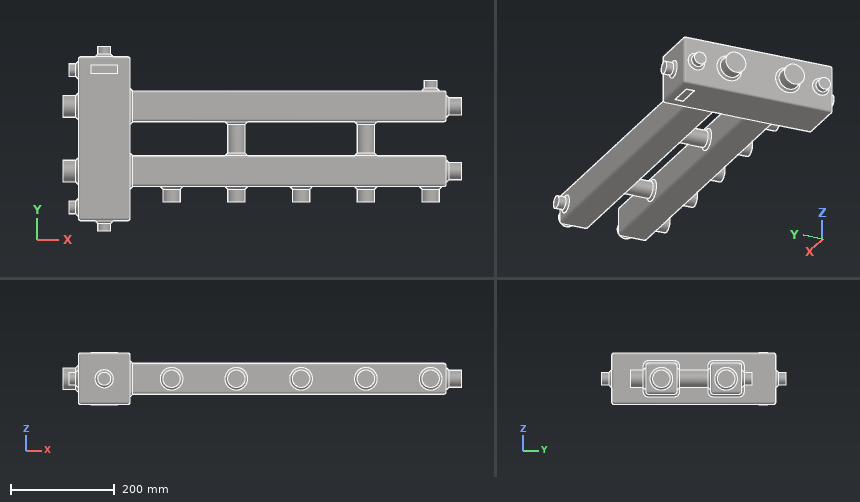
import cadquery as cq

BLOCK_X = 100.0
BLOCK_Y = 317.0
BLOCK_Z = 100.0
BLOCK_EDGE = 5.0

PLATE_X = 51.0
PLATE_Y = 17.0
PLATE_THICKNESS = 0.5
PLATE_CENTRE_Y = 134.0

PIPE_SIZE = 60.0
PIPE_LENGTH = 610.0
PIPE_EDGE = 5.0
PIPE_PITCH = 125.0

BRANCH_DIA = 33.7
BRANCH_LENGTH = 30.0
BRANCH_COUNT = 5
BRANCH_PITCH = 125.0
FIRST_BRANCH_OFFSET = 80.0
BRIDGE_BRANCHES = (1, 3)

INLET_DIA = 42.4
INLET_LENGTH = 30.0

SMALL_DIA = 25.0
SMALL_LENGTH = 20.0
SENSOR_LENGTH = 18.0
SENSOR_Y = 132.5

WELD_LEG = 5.0

BLOCK_FACE_X = BLOCK_X / 2
BLOCK_FACE_Y = BLOCK_Y / 2
PIPE_Y = PIPE_PITCH / 2
PIPE_END_X = BLOCK_FACE_X + PIPE_LENGTH
PIPE_OUTER_Y = PIPE_Y + PIPE_SIZE / 2
PIPE_INNER_Y = PIPE_Y - PIPE_SIZE / 2
BRANCH_X = [BLOCK_FACE_X + FIRST_BRANCH_OFFSET + i * BRANCH_PITCH for i in range(BRANCH_COUNT)]


def weld_cone(base, direction, dia):
    """Conical weld bead with its wide end on the wall at base."""
    radius = dia / 2
    cone = cq.Solid.makeCone(
        radius + WELD_LEG, radius, WELD_LEG, cq.Vector(*base), cq.Vector(*direction)
    )
    return cq.Workplane(cone)


def stub(base, direction, dia, length):
    """Round stub standing on a wall, with its weld bead."""
    tube = cq.Solid.makeCylinder(dia / 2, length, cq.Vector(*base), cq.Vector(*direction))
    return cq.Workplane(tube).union(weld_cone(base, direction, dia))


def header_block():
    """Rounded block with a plain name plate standing proud of its top and bottom."""
    block = cq.Workplane("XY").box(BLOCK_X, BLOCK_Y, BLOCK_Z).edges().fillet(BLOCK_EDGE)
    plates = (
        cq.Workplane("XY")
        .box(PLATE_X, PLATE_Y, BLOCK_Z + 2 * PLATE_THICKNESS)
        .translate((0, PLATE_CENTRE_Y, 0))
    )
    return block.union(plates)


def manifold_pipe(y):
    """Closed square pipe with rounded edges."""
    return (
        cq.Workplane("XY")
        .box(PIPE_LENGTH, PIPE_SIZE, PIPE_SIZE)
        .edges("|X or >X")
        .fillet(PIPE_EDGE)
        .translate((BLOCK_FACE_X + PIPE_LENGTH / 2, y, 0))
    )


def rounded_square(size, edge_radius):
    return cq.Sketch().rect(size, size).vertices().fillet(edge_radius)


def pipe_weld(y):
    """Tapered weld bead around the pipe where it meets the block."""
    wide_end = rounded_square(PIPE_SIZE + 2 * WELD_LEG, PIPE_EDGE + WELD_LEG)
    narrow_end = rounded_square(PIPE_SIZE, PIPE_EDGE).moved(cq.Location(cq.Vector(0, 0, WELD_LEG)))
    return (
        cq.Workplane("YZ", origin=(BLOCK_FACE_X, y, 0))
        .placeSketch(wide_end, narrow_end)
        .loft()
    )


def bridge(x):
    """Round tube joining the two pipes, welded at both ends."""
    start = (x, -PIPE_INNER_Y, 0)
    end = (x, PIPE_INNER_Y, 0)
    tube = stub(start, (0, 1, 0), BRANCH_DIA, 2 * PIPE_INNER_Y)
    return tube.union(weld_cone(end, (0, -1, 0), BRANCH_DIA))


def half_fittings(side):
    """Pipe and stubs found on both halves of the part; side is -1 or +1 along Y."""
    y = side * PIPE_Y
    sensor_base = (-BLOCK_FACE_X, side * SENSOR_Y, 0)
    return (
        manifold_pipe(y)
        .union(pipe_weld(y))
        .union(stub((-BLOCK_FACE_X, y, 0), (-1, 0, 0), INLET_DIA, INLET_LENGTH))
        .union(stub((PIPE_END_X, y, 0), (1, 0, 0), BRANCH_DIA, BRANCH_LENGTH))
        .union(stub(sensor_base, (-1, 0, 0), SMALL_DIA, SENSOR_LENGTH))
        .union(stub((0, side * BLOCK_FACE_Y, 0), (0, side, 0), SMALL_DIA, SMALL_LENGTH))
    )


result = header_block()
for side in (-1, 1):
    result = result.union(half_fittings(side))

for x in BRANCH_X:
    result = result.union(stub((x, -PIPE_OUTER_Y, 0), (0, -1, 0), BRANCH_DIA, BRANCH_LENGTH))

for i in BRIDGE_BRANCHES:
    result = result.union(bridge(BRANCH_X[i]))

result = result.union(stub((BRANCH_X[-1], PIPE_OUTER_Y, 0), (0, 1, 0), SMALL_DIA, SMALL_LENGTH))